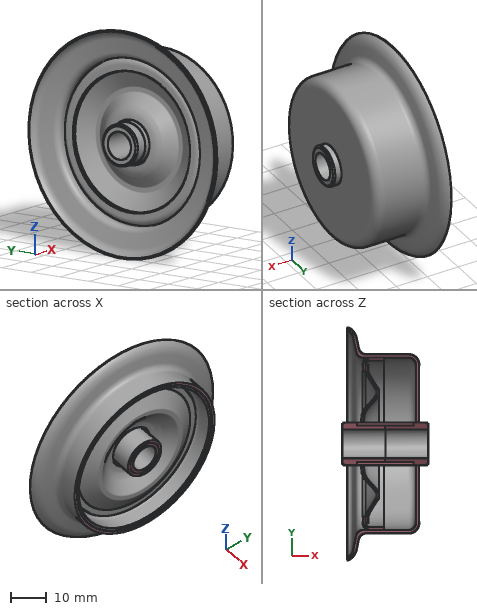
import cadquery as cq
import math


hub_length = 24.0
hub_radius = 6.0
bore_radius = 4.0
shank_radius = 5.0
head_length = 4.0
head_chamfer = 0.5

sheet = 1.0
tread_radius = 25.0
tread_inner_radius = tread_radius - sheet
back_station = 21.5
back_corner_radius = 3.0
throat_radius = 2.0
flange_slope = math.tan(math.radians(12))
flange_root_station = 5.0

lip_radius = 32.5
lip_station = 1.35
lip_bevel_length = 0.18
lip_crest_radius = 32.06
lip_curl_station = 2.62
lip_curl_radius = 32.1
lip_curl_bend = 3.65
lip_bend_radius = 30.3
lip_bend = 5.08
lip_front_radius = 31.69
lip_front_bend = 0.65
lip_inner_radius = 30.95
lip_inner_bend = 2.5

retainer_station = 5.7
retainer_sheet = 0.8
retainer_hole_radius = 20.2
retainer_corner_radius = 2.0
retainer_depth = 6.0

shield_sheet = 0.8
shield_station = retainer_station + retainer_sheet
dish_top_radius = 20.0
dish_floor_radius = 15.07
dish_floor_station = 9.5
raise_foot_radius = 13.55
raise_crest_radius = 8.8
raise_crest_station = 5.3
raise_bend = 5.0
crease_radius = 0.5
shield_hole_radius = 6.5


def revolved(corners):
    """Revolve a closed (station, radius, rounding) outline about X, rounding its corners."""
    bends = []
    for index, (station, radius, rounding) in enumerate(corners):
        corner = cq.Vector(station, radius)
        before = cq.Vector(*corners[index - 1][:2]) - corner
        after = cq.Vector(*corners[(index + 1) % len(corners)][:2]) - corner
        half_angle = before.getAngle(after) / 2
        bisector = (before.normalized() + after.normalized()).normalized()
        setback = rounding / math.tan(half_angle)
        bulge = rounding / math.sin(half_angle) - rounding
        bends.append(
            (
                corner + before.normalized() * setback,
                corner + bisector * bulge,
                corner + after.normalized() * setback,
                rounding,
            )
        )
    outline = cq.Workplane("XZ").moveTo(*bends[0][2].toTuple()[:2])
    for entry, middle, leave, rounding in bends[1:] + bends[:1]:
        outline = outline.lineTo(*entry.toTuple()[:2])
        if rounding:
            outline = outline.threePointArc(middle.toTuple()[:2], leave.toTuple()[:2])
    body = outline.wire().revolve(360, (0, 0, 0), (1, 0, 0))
    return body.translate((-hub_length / 2, 0, 0))


def flange_station(radius):
    """Station of the outer face of the conical flange at a given radius."""
    return flange_root_station - (radius - tread_radius) * flange_slope


def make_shell():
    """Tread, closed back and flange as one sheet, its back pierced for the hub."""
    back_inside = back_station - sheet
    return revolved(
        [
            (back_inside, hub_radius, 0),
            (back_station, hub_radius, 0),
            (back_station, tread_radius, back_corner_radius),
            (flange_station(tread_radius), tread_radius, throat_radius),
            (flange_station(lip_bend_radius), lip_bend_radius, lip_bend),
            (lip_curl_station, lip_curl_radius, lip_curl_bend),
            (lip_station + lip_bevel_length, lip_radius, 0),
            (lip_station, lip_crest_radius, 0),
            (lip_station, lip_front_radius, lip_front_bend),
            (flange_station(lip_inner_radius) - sheet, lip_inner_radius, lip_inner_bend),
            (flange_station(tread_inner_radius) - sheet, tread_inner_radius, throat_radius),
            (back_inside, tread_inner_radius, back_corner_radius - sheet),
        ]
    )


def make_retainer():
    """Ring against the inside of the tread, open at the back."""
    rim_station = retainer_station + retainer_depth
    rim_inner_radius = tread_inner_radius - retainer_sheet
    return revolved(
        [
            (retainer_station, retainer_hole_radius, 0),
            (retainer_station, tread_inner_radius, retainer_corner_radius),
            (rim_station, tread_inner_radius, 0),
            (rim_station, rim_inner_radius, 0),
            (shield_station, rim_inner_radius, retainer_corner_radius - retainer_sheet),
            (shield_station, retainer_hole_radius, 0),
        ]
    )


def make_shield():
    """Dished disc whose back face repeats its front face one sheet further in."""
    edge_radius = tread_inner_radius - retainer_corner_radius
    front = [
        (shield_station, edge_radius, 0),
        (shield_station, dish_top_radius, 0),
        (dish_floor_station, dish_floor_radius, crease_radius),
        (dish_floor_station, raise_foot_radius, crease_radius),
        (raise_crest_station, raise_crest_radius, raise_bend),
        (raise_crest_station, shield_hole_radius, 0),
    ]
    back = [(station + shield_sheet, radius, rounding) for station, radius, rounding in reversed(front)]
    return revolved(front + back)


def make_core():
    """Ring around both shanks, between the two heads."""
    far_station = hub_length - head_length
    return revolved(
        [
            (head_length, shank_radius, 0),
            (head_length, hub_radius, 0),
            (far_station, hub_radius, 0),
            (far_station, shank_radius, 0),
        ]
    )


def make_bushing():
    """One bushing: a chamfered head with a shank reaching the middle of the hub."""
    middle = hub_length / 2
    return revolved(
        [
            (0, bore_radius, 0),
            (0, hub_radius - head_chamfer, 0),
            (head_chamfer, hub_radius, 0),
            (head_length, hub_radius, 0),
            (head_length, shank_radius, 0),
            (middle, shank_radius, 0),
            (middle, bore_radius, 0),
        ]
    )


shell = make_shell()
retainer = make_retainer()
shield = make_shield()
core = make_core()
bushings = [make_bushing().rotate((0, 0, 0), (0, 0, 1), turn) for turn in (0, 180)]

result = cq.Compound.makeCompound(
    [
        shell.val(),
        retainer.val(),
        shield.val(),
        core.val(),
        *[bushing.val() for bushing in bushings],
    ]
)